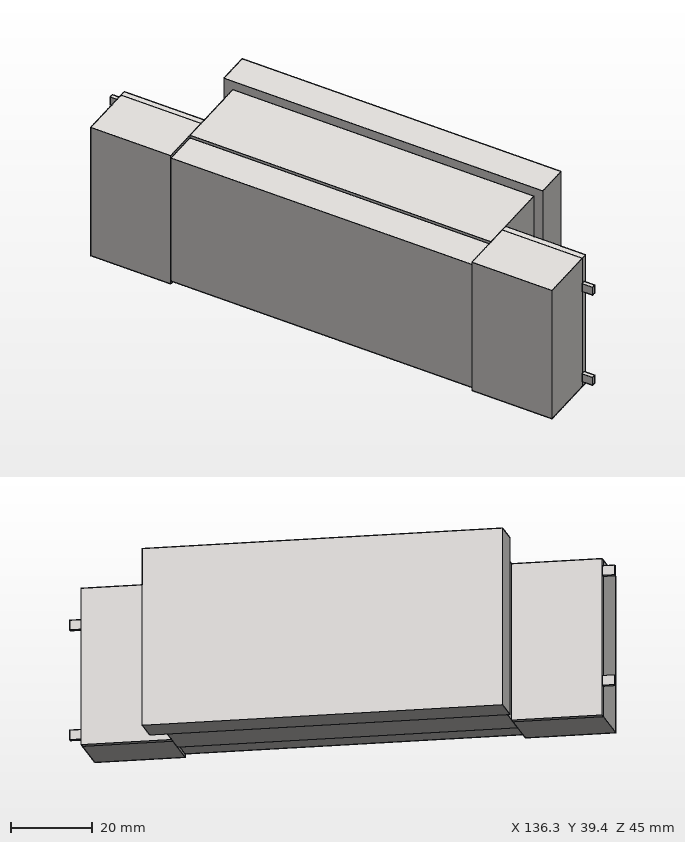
import cadquery as cq

total_depth = 39.4
flange_length = 90.1
flange_height = 45.0
flange_thickness = 9.0
block_length = 85.0
block_height = 39.8
block_depth = 21.0

cover_height = 38.2
cover_setback = 0.1
cover_depth = total_depth - flange_thickness - block_depth - cover_setback

overall_length = 136.3
tab_length = 3.0
cap_depth = 14.9
cap_length = (overall_length - block_length) / 2 - tab_length
plate_thickness = 1.6

tab_height = 2.5
tab_thickness = 1.1
tab_overhang = 0.1
tab_centers_z = (17.0, -10.9)

plate_front_y = cap_depth
tab_front_y = plate_front_y - tab_overhang
block_front_y = cover_setback + cover_depth
block_back_y = block_front_y + block_depth
block_end_x = block_length / 2
cap_end_x = block_end_x + cap_length


def box_at(length, depth, height, center_x, front_y, center_z=0.0):
    """Box centred in X and Z whose front face lies at front_y."""
    return cq.Workplane("XY").box(length, depth, height).translate(
        (center_x, front_y + depth / 2, center_z)
    )


def make_housing():
    block = box_at(block_length, block_depth, block_height, 0, block_front_y)
    flange = box_at(flange_length, flange_thickness, flange_height, 0, block_back_y)
    return block.union(flange)


def make_cover():
    return box_at(block_length, cover_depth, cover_height, 0, cover_setback)


def make_cap(side):
    center_x = side * (block_end_x + cap_length / 2)
    return box_at(cap_length, cap_depth, block_height, center_x, 0)


def make_tabbed_plate(side):
    """Rear plate of an end cap, with two tabs reaching slightly past its front face."""
    plate_x = side * (block_end_x + cap_length / 2)
    tab_x = side * (cap_end_x + tab_length / 2)
    plate = box_at(cap_length, plate_thickness, block_height, plate_x, plate_front_y)
    for center_z in tab_centers_z:
        tab_z = -side * center_z
        tab = box_at(tab_length, tab_thickness, tab_height, tab_x, tab_front_y, tab_z)
        plate = plate.union(tab)
    return plate


housing = make_housing()
cover = make_cover()
caps = [make_cap(side) for side in (-1, 1)]
tabbed_plates = [make_tabbed_plate(side) for side in (-1, 1)]

result = cq.Compound.makeCompound([
    housing.val(),
    cover.val(),
    *[cap.val() for cap in caps],
    *[plate.val() for plate in tabbed_plates],
])